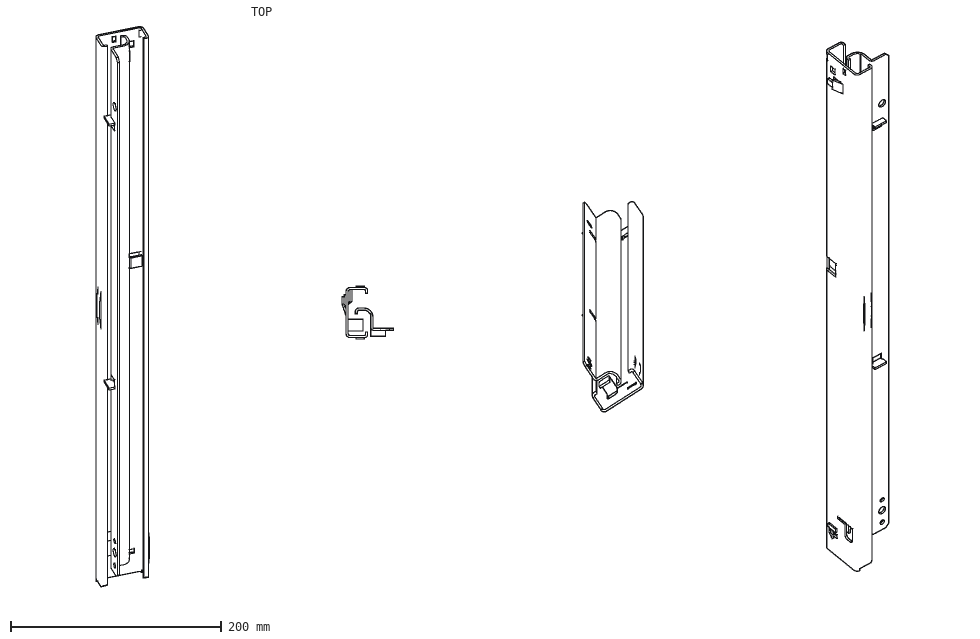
import cadquery as cq

length = 630.0
width_x = 49.0
width_y = 50.5

sheet = 2.2
pad_height = 1.0
web_x = 4.0
rail_right = 24.5
rail_front = pad_height
rail_back = width_y - pad_height
web_bend = 4.1
lip_bend = 3.0
lip_depth = 5.5
lip_trim = 2.5
lip_corner = 3.0

upper_catch = dict(root_y=22.0, tip_y=33.5, z0=593.5, z1=605.5)
lower_catch = dict(root_y=43.0, tip_y=33.5, z0=22.5, z1=28.0)
catch_gap = 2.5
catch_nose = (33.0, 40.5, 596.0, 602.0)
rest_ridge = (31.0, 42.0, 31.0, 35.0)
end_hole = (18.0, 22.0, 619.0, 625.5)
corner_notch = (45.5, 48.5, 619.0, 627.0)
locating_hole = (34.0, 40.5, 609.0, 616.0)

bridge_window = (33.0, rail_back, 353.5, 370.5)
bridge_gap = 2.5
bridge_rise = 4.0
bridge_ramp = 3.0

stop_y = (7.5, 19.0)
stop_z = (32.0, 51.0)
stop_reach = 20.0
stop_turn = 15.0
stop_round = 4.0
stop_slit_y = 30.0

pad_length = 43.5
pad_top_length = 19.0
pad_x = 13.0
pad_width = 8.0
front_pad_z = 323.0
back_pad_z = 36.5

cabinet_sheet = 2.2
hook_left = 12.5
hook_tip_y = 24.0
hook_top_y = 29.5
hook_tip_bend = 4.0
hook_wall_bend = 9.0
wall_x = 29.5
flange_y = 8.0
flange_bend = 3.0
flange_bottom = 29.0
flange_chamfer = 4.0

hole_x = 41.0
screw_hole = 8.0
screw_hole_heights = (570.0, 53.5)
pin_hole = 5.0
pin_hole_z = 38.5
pin_slot_z = 67.0
pin_slot_height = 4.0

window_right = 40.5
window_tab_right = 41.5
window_height = 7.5
upper_window_z = 545.5
lower_window_z = 249.5
window_tab_tip_y = 2.5


def box(x0, x1, y0, y1, z0, z1):
    """Box between opposite corners."""
    return cq.Workplane("XY").box(x1 - x0, y1 - y0, z1 - z0, centered=False).translate((x0, y0, z0))


def strip(points, z0, z1):
    """Closed XY outline extruded from z0 to z1."""
    return cq.Workplane("XY").workplane(offset=z0).polyline(points).close().extrude(z1 - z0)


def channel():
    """Bent C section: a web with two flanges, each ending in an inward lip."""
    outer = box(web_x, rail_right, rail_front, rail_back, 0, length)
    outer = outer.edges("|Z and <X").fillet(web_bend).edges("|Z and >X").fillet(lip_bend)
    inner = box(web_x + sheet, rail_right - sheet, rail_front + sheet, rail_back - sheet, 0, length)
    inner = inner.edges("|Z and <X").fillet(web_bend - sheet).edges("|Z and >X").fillet(lip_bend - sheet)
    mouth = box(rail_right - 2 * sheet, rail_right, rail_front + lip_depth, rail_back - lip_depth, 0, length)
    trim = (
        cq.Workplane("XZ")
        .moveTo(web_x + web_bend, 0)
        .lineTo(web_x + web_bend, lip_trim)
        .lineTo(rail_right - lip_corner, lip_trim)
        .lineTo(rail_right, lip_trim + lip_corner)
        .lineTo(rail_right, 0)
        .close()
        .extrude(-width_y)
    )
    return outer.cut(inner).cut(mouth).cut(trim)


def pad_prism(surface_y, outward, z_middle):
    """Trapezoid with sloping ends rising from the plane y = surface_y."""
    top_y = surface_y + outward * pad_height
    return (
        cq.Workplane("YZ", origin=(pad_x, 0, z_middle))
        .moveTo(surface_y, -pad_length / 2)
        .lineTo(top_y, -pad_top_length / 2)
        .lineTo(top_y, pad_top_length / 2)
        .lineTo(surface_y, pad_length / 2)
        .close()
        .extrude(pad_width)
    )


def add_pressed_pad(rail, surface_y, outward, z_middle):
    """Press a pad out of a flange, leaving the matching hollow inside."""
    hollow = pad_prism(surface_y - outward * sheet, outward, z_middle)
    return rail.union(pad_prism(surface_y, outward, z_middle)).cut(hollow)


def web_window(y0, y1, z0, z1):
    """Cutter for an opening through the web."""
    return box(0, web_x + sheet, y0, y1, z0, z1)


def add_catch(rail, root_y, tip_y, z0, z1):
    """Sloping catch lanced out of the web toward -X, with its window behind the tip."""
    toward_root = 1 if root_y > tip_y else -1
    window_y = sorted((root_y - toward_root * sheet, tip_y - toward_root * catch_gap))
    rail = rail.cut(web_window(*window_y, z0, z1))
    catch = [(web_x, root_y), (0, tip_y), (sheet, tip_y), (web_x + sheet, root_y)]
    return rail.union(strip(catch, z0, z1))


def add_bridge(rail):
    """Strap pressed toward +X that joins the web to the +Y flange across an opening."""
    y0, _, z0, z1 = bridge_window
    strap_end = rail_back - sheet / 2
    inside_x = web_x + bridge_rise
    rail = rail.cut(web_window(*bridge_window))
    outline = [
        (web_x, y0),
        (inside_x, y0 + bridge_ramp),
        (inside_x, strap_end),
        (inside_x + sheet, strap_end),
        (inside_x + sheet, y0 + bridge_ramp),
        (web_x + sheet, y0),
    ]
    return rail.union(strip(outline, z0 + bridge_gap, z1 - bridge_gap))


def add_stop(rail):
    """Stop tongue reaching toward +X, its end turned down toward -Z."""
    y0, y1 = stop_y
    z0, z1 = stop_z
    opening = web_window(y0, y1, z0, z1).edges("|X and <Z").fillet(stop_round)
    slit = web_window(y1, stop_slit_y, z1 - sheet, z1)
    tongue = box(web_x, stop_reach, y0, y1, z1, z1 + sheet)
    turned_end = box(stop_reach - sheet, stop_reach, y0, y1, z1 - stop_turn, z1)
    return rail.cut(opening).cut(slit).union(tongue).union(turned_end)


def make_drawer_rail():
    rail = channel()
    rail = add_pressed_pad(rail, rail_front, -1, front_pad_z)
    rail = add_pressed_pad(rail, rail_back, 1, back_pad_z)
    for opening in (end_hole, corner_notch, locating_hole):
        rail = rail.cut(web_window(*opening))
    for catch in (upper_catch, lower_catch):
        rail = add_catch(rail, **catch)
    rail = rail.union(box(0, sheet, *catch_nose)).union(box(sheet, web_x, *rest_ridge))
    return add_stop(add_bridge(rail))


def hooked_wall():
    """Wall curling over at its +Y end into a short hook."""
    inner_left = hook_left + cabinet_sheet
    inner_right = wall_x - cabinet_sheet
    outer = box(hook_left, wall_x, flange_y, hook_top_y, flange_bottom, length)
    outer = outer.edges("|Z and >Y and <X").fillet(hook_tip_bend)
    outer = outer.edges("|Z and >Y and >X").fillet(hook_wall_bend)
    inner = box(inner_left, inner_right, flange_y, hook_top_y - cabinet_sheet, flange_bottom, length)
    inner = inner.edges("|Z and >Y and <X").fillet(hook_tip_bend - cabinet_sheet)
    inner = inner.edges("|Z and >Y and >X").fillet(hook_wall_bend - cabinet_sheet)
    below_tip = box(hook_left, inner_right, flange_y, hook_tip_y, flange_bottom, length)
    return outer.cut(inner).cut(below_tip)


def flange():
    """Screw flange running out from the foot of the wall."""
    plate = box(wall_x - cabinet_sheet, width_x, flange_y, flange_y + cabinet_sheet, flange_bottom, length)
    return plate.edges("|Y and >X").chamfer(flange_chamfer)


def flange_cutter(height_z):
    """Start a cutter sketch at the hole line of the flange."""
    return cq.Workplane("XZ", origin=(hole_x, 0, height_z))


def add_window(rail, z_middle, side):
    """Rectangular window with a tab folded toward -Y from its top (1) or bottom (-1) edge."""
    half = window_height / 2
    rail = rail.cut(box(wall_x, window_right, 0, flange_y + cabinet_sheet, z_middle - half, z_middle + half))
    z_edges = sorted((z_middle + side * half, z_middle + side * (half + cabinet_sheet)))
    tab_root_x = wall_x - cabinet_sheet
    tab = box(tab_root_x, window_tab_right, window_tab_tip_y, flange_y + cabinet_sheet, *z_edges)
    return rail.union(tab)


def make_cabinet_rail():
    rail = hooked_wall().union(flange())
    bend_point = (wall_x - cabinet_sheet, flange_y, length / 2)
    rail = rail.edges(cq.selectors.NearestToPointSelector(bend_point)).fillet(flange_bend)
    for height_z in screw_hole_heights:
        rail = rail.cut(flange_cutter(height_z).circle(screw_hole / 2).extrude(-width_y))
    rail = rail.cut(flange_cutter(pin_hole_z).circle(pin_hole / 2).extrude(-width_y))
    rail = rail.cut(flange_cutter(pin_slot_z).slot2D(pin_hole, pin_slot_height).extrude(-width_y))
    rail = add_window(rail, upper_window_z, 1)
    return add_window(rail, lower_window_z, -1)


drawer_rail = make_drawer_rail()
cabinet_rail = make_cabinet_rail()

result = cq.Compound.makeCompound([drawer_rail.val(), cabinet_rail.val()])